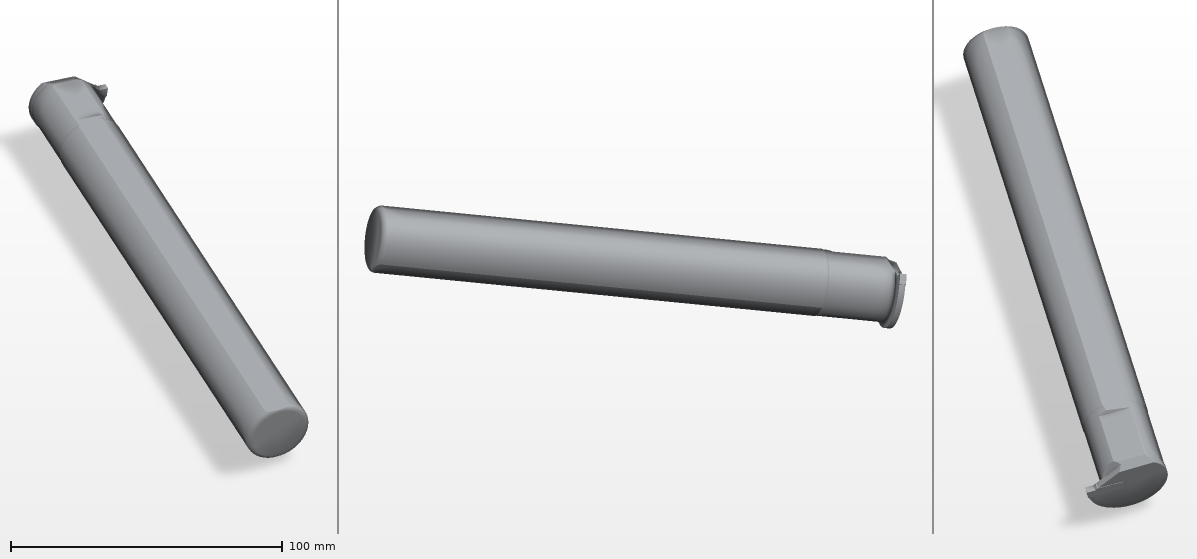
import cadquery as cq
import math


overall_length = 200.0
shank_radius = 12.5
flat_height = 11.5
tail_round = 2.0

head_radius = 12.3
head_length = 28.0
collar_end = 28.5
bottom_ramp_start = 27.5

face_setback = 0.15
flange_back = 2.5
flange_radius = 15.28
flange_offset = flange_radius - shank_radius

head_flat_tilt = 6.6
head_flat_start_y = -4.6
head_flat_start_z = math.sqrt(head_radius**2 - head_flat_start_y**2)
head_flat_end = 25.0

bevel_length = 3.65
bevel_depth = 1.53

tip_y = 18.5
tip_z = 0.0
tip_ramp_y = 15.2
tip_ramp_z = 0.3
insert_step_y = 14.5
insert_step_z = 1.3
insert_back_y = 4.5
insert_back_top = 1.85
insert_back_bottom = -2.35
insert_front_y = 17.9
insert_front_bottom = -3.9

gullet_angle = 42.5
gullet_edge_y = 14.1
gullet_wall_angle = 40.0

clearance = 40.0


def bar_blank():
    """Head, conical collar and shank in one turned piece with a rounded tail."""
    blank = (
        cq.Workplane("XY")
        .polyline([
            (face_setback, 0),
            (face_setback, head_radius),
            (head_length, head_radius),
            (collar_end, shank_radius),
            (overall_length, shank_radius),
            (overall_length, 0),
        ])
        .close()
        .revolve(360, (0, 0, 0), (1, 0, 0))
    )
    return blank.faces(">X").edges().fillet(tail_round)


def flange():
    """Eccentric round flange; its upper -Y part follows the shank cylinder."""
    bottom_point = (flange_offset, -flange_radius)
    plus_y_side = (flange_offset + flange_radius, 0)
    top_point = (flange_offset, flange_radius)
    diagonal = math.sqrt(0.5)
    quarter_middle = (flange_offset + flange_radius * diagonal, flange_radius * diagonal)
    shank_middle = (-shank_radius * diagonal, shank_radius * diagonal)
    return (
        cq.Workplane("YZ", origin=(face_setback, 0, 0))
        .moveTo(-shank_radius, 0)
        .threePointArc(bottom_point, plus_y_side)
        .threePointArc(quarter_middle, top_point)
        .lineTo(0, shank_radius)
        .threePointArc(shank_middle, (-shank_radius, 0))
        .close()
        .extrude(flange_back - face_setback)
    )


def top_flat_cut():
    """Material above the upper flat, along the whole bar."""
    return cq.Workplane("XY").box(
        overall_length, clearance, clearance, centered=(False, True, False)
    ).translate((0, 0, flat_height))


def bottom_flat_cut():
    """Material below the lower flat of the shank, with a 45 degree ramp at the head."""
    ramp_end = bottom_ramp_start + head_radius - flat_height
    return (
        cq.Workplane("XZ")
        .polyline([
            (bottom_ramp_start, -head_radius),
            (ramp_end, -flat_height),
            (overall_length, -flat_height),
            (overall_length, -clearance),
            (bottom_ramp_start, -clearance),
        ])
        .close()
        .extrude(clearance, both=True)
    )


def head_flat_cut():
    """Material above the tilted head flat, its front bevel and its 45 degree rear ramp."""
    return (
        cq.Workplane("XZ")
        .polyline([
            (0, -bevel_depth),
            (bevel_length, 0),
            (head_flat_end, 0),
            (head_flat_end + clearance, clearance),
            (0, clearance),
        ])
        .close()
        .extrude(clearance, both=True)
        .rotate((0, 0, 0), (1, 0, 0), -head_flat_tilt)
        .translate((0, head_flat_start_y, head_flat_start_z))
    )


def gullet_cut():
    """Material above the sloped gullet floor and its run-out wall."""
    wall_run = clearance / math.tan(math.radians(gullet_wall_angle))
    return (
        cq.Workplane("XZ")
        .polyline([
            (0, 0),
            (flange_back, 0),
            (flange_back + wall_run, clearance),
            (0, clearance),
        ])
        .close()
        .extrude(clearance, both=True)
        .rotate((0, 0, 0), (1, 0, 0), -gullet_angle)
        .translate((0, gullet_edge_y, insert_step_z))
    )


def cutting_insert():
    """Wedge with a lowered cutting tip, a ramp behind the tip and a relieved front."""
    return (
        cq.Workplane("YZ")
        .polyline([
            (insert_back_y, insert_back_bottom),
            (insert_front_y, insert_front_bottom),
            (tip_y, tip_z),
            (tip_ramp_y, tip_ramp_z),
            (insert_step_y, insert_step_z),
            (insert_back_y, insert_back_top),
        ])
        .close()
        .extrude(flange_back)
    )


def insert_pocket():
    """Slot for the insert, open toward +Y so that nothing is left above the tip."""
    slope = (insert_front_bottom - insert_back_bottom) / (insert_front_y - insert_back_y)
    return (
        cq.Workplane("YZ")
        .polyline([
            (insert_back_y, insert_back_bottom),
            (clearance, insert_back_bottom + slope * (clearance - insert_back_y)),
            (clearance, insert_step_z),
            (insert_step_y, insert_step_z),
            (insert_back_y, insert_back_top),
        ])
        .close()
        .extrude(flange_back)
    )


bar = (
    bar_blank()
    .union(flange())
    .cut(top_flat_cut())
    .cut(bottom_flat_cut())
    .cut(head_flat_cut())
    .cut(gullet_cut())
    .cut(insert_pocket())
)
insert = cutting_insert()

result = cq.Compound.makeCompound([bar.solids().val(), insert.val()])